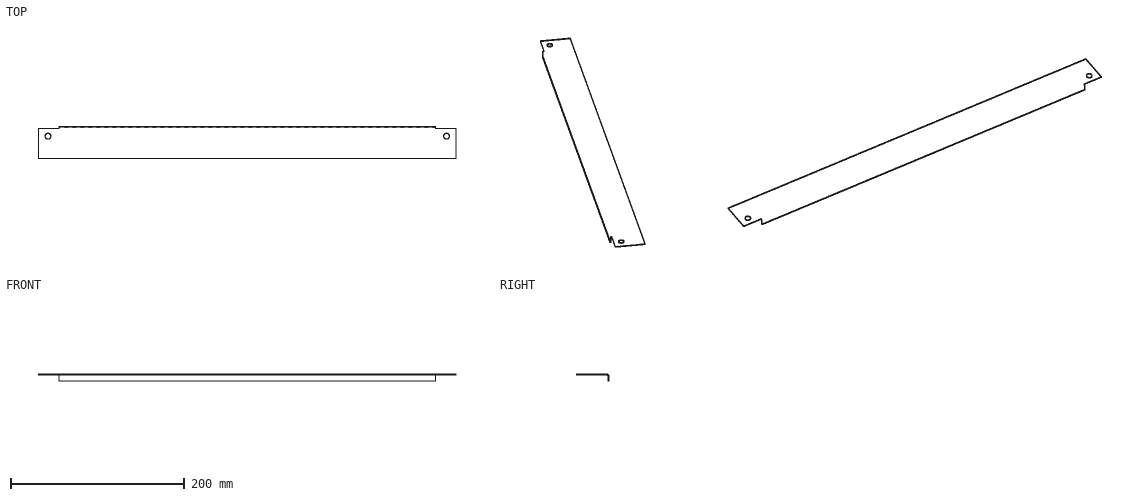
import cadquery as cq

panel_length = 482.0
total_depth = 37.0
total_height = 8.0

sheet_thickness = 1.0
inner_bend_radius = 1.0
outer_bend_radius = inner_bend_radius + sheet_thickness

flange_length = 435.0

hole_diameter = 6.5
hole_pitch = 460.0
hole_edge_distance = 9.0

front_y = -total_depth / 2
flange_outer_y = total_depth / 2
bend_start_y = flange_outer_y - outer_bend_radius
hole_y = bend_start_y - hole_edge_distance


def make_panel():
    """Flat sheet, ending where the bend begins."""
    return (
        cq.Workplane("XY")
        .box(panel_length, bend_start_y - front_y, sheet_thickness, centered=(True, False, False))
        .translate((0, front_y, -sheet_thickness))
    )


def make_flange():
    """Quarter-round bend along the +Y edge, continuing as a flange that points down."""
    flange_inner_y = flange_outer_y - sheet_thickness
    return (
        cq.Workplane("YZ")
        .moveTo(bend_start_y, 0)
        .radiusArc((flange_outer_y, -outer_bend_radius), outer_bend_radius)
        .lineTo(flange_outer_y, -total_height)
        .lineTo(flange_inner_y, -total_height)
        .lineTo(flange_inner_y, -outer_bend_radius)
        .radiusArc((bend_start_y, -sheet_thickness), -inner_bend_radius)
        .close()
        .extrude(flange_length / 2, both=True)
    )


def make_mounting_holes():
    """Cutters for the two round holes through the panel."""
    hole_centers = [(side * hole_pitch / 2, hole_y) for side in (-1, 1)]
    return (
        cq.Workplane("XY")
        .pushPoints(hole_centers)
        .circle(hole_diameter / 2)
        .extrude(-sheet_thickness)
    )


result = make_panel().union(make_flange()).cut(make_mounting_holes())